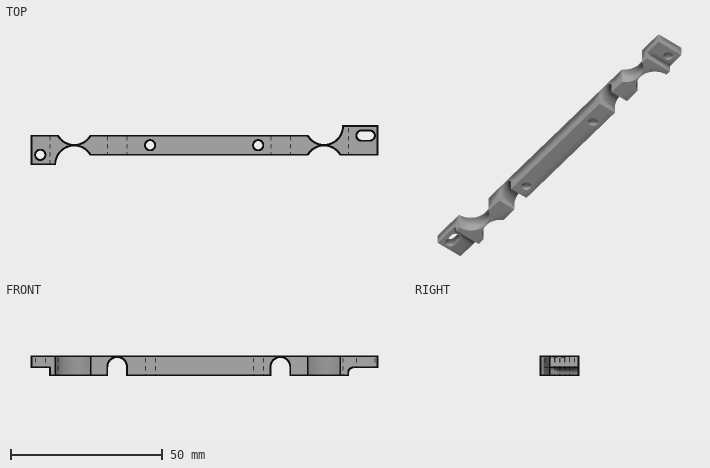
import cadquery as cq

length = 114.3
bar_width = 6.4
height = 6.4
tab_reach = 6.34

web_thickness = 0.2
neck_radius = 6.23
left_neck_x = 14.2
right_neck_x = 96.6
neck_offset = neck_radius + web_thickness / 2

hole_diameter = 3.3
bar_hole_positions = [39.2, 74.9]
tab_hole_x = 3.0
tab_hole_offset = tab_reach / 2
slot_x = 110.3
slot_length = 6.1

arch_width = 6.4
arch_top_z = 6.1
arch_positions = [28.3, 82.2]

step_height = 2.6
left_step_length = 6.2
right_step_length = 9.7
step_fillet = 1.7


def box(x_start, x_end, y_start, y_end, z_end):
    """Block standing on the underside plane."""
    return cq.Workplane("XY").box(
        x_end - x_start, y_end - y_start, z_end, centered=False
    ).translate((x_start, y_start, 0))


def neck_cuts(x):
    """Pair of upright cylinders on either side of a flexure neck."""
    centres = [(x, neck_offset), (x, -neck_offset)]
    return cq.Workplane("XY").pushPoints(centres).circle(neck_radius).extrude(height)


def arch_cut(x):
    """Round-topped notch running across the bar."""
    radius = arch_width / 2
    spring_z = arch_top_z - radius
    return (
        cq.Workplane("XZ")
        .moveTo(x - radius, 0)
        .lineTo(x - radius, spring_z)
        .threePointArc((x, arch_top_z), (x + radius, spring_z))
        .lineTo(x + radius, 0)
        .close()
        .extrude(tab_reach, both=True)
    )


half_width = bar_width / 2
body = box(0, length, -half_width, half_width, height)
body = body.union(box(0, left_neck_x, -tab_reach, half_width, height))
body = body.union(box(right_neck_x, length, -half_width, tab_reach, height))

for neck_x in (left_neck_x, right_neck_x):
    body = body.cut(neck_cuts(neck_x))

for arch_x in arch_positions:
    body = body.cut(arch_cut(arch_x))

left_step = box(0, left_step_length, -tab_reach, tab_reach, step_height)
right_step = box(length - right_step_length, length, -tab_reach, tab_reach, step_height)
right_step = right_step.edges("<X and >Z").fillet(step_fillet)
body = body.cut(left_step).cut(right_step)

hole_centres = [(x, 0) for x in bar_hole_positions] + [(tab_hole_x, -tab_hole_offset)]
holes = cq.Workplane("XY").pushPoints(hole_centres).circle(hole_diameter / 2).extrude(height)
slot = (
    cq.Workplane("XY")
    .center(slot_x, tab_hole_offset)
    .slot2D(slot_length, hole_diameter)
    .extrude(height)
)
result = body.cut(holes).cut(slot)